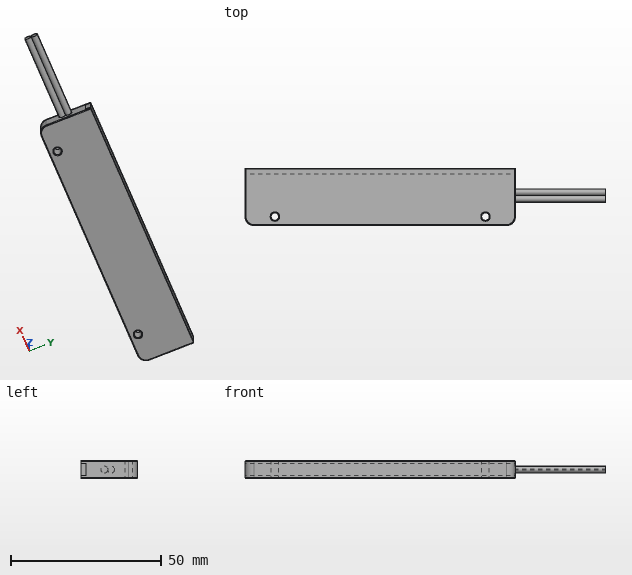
import cadquery as cq

total_length = 120.0
housing_length = 90.0
housing_width = 19.0
housing_height = 6.0
corner_radius = 3.0
edge_chamfer = 0.3

hole_diameter = 2.5
hole_end_offset = 10.0
hole_front_offset = 3.0

strip_depth = 1.8
strip_height = 4.0

core_diameter = 2.3
core_overlap = 0.02
core_spacing = core_diameter - core_overlap
cable_front_offset = 10.0
cable_length = total_length - housing_length

half_height = housing_height / 2


def make_plate():
    """Flat plate with rounded front corners; every face edge but the rear ones is chamfered."""
    plate = cq.Workplane("XY").box(
        housing_length, housing_width, housing_height, centered=(False, False, True)
    )
    plate = plate.edges("|Z and <Y").fillet(corner_radius)
    return plate.faces("|Z").edges("not >Y").chamfer(edge_chamfer)


def make_holes():
    """Cutters for the two holes, widened at the top and bottom faces by the edge chamfer."""
    hole_radius = hole_diameter / 2
    mouth_radius = hole_radius + edge_chamfer
    chamfer_level = half_height - edge_chamfer
    half_section = (
        cq.Workplane("XZ")
        .moveTo(0, -half_height)
        .lineTo(mouth_radius, -half_height)
        .lineTo(hole_radius, -chamfer_level)
        .lineTo(hole_radius, chamfer_level)
        .lineTo(mouth_radius, half_height)
        .lineTo(0, half_height)
        .close()
    )
    cutter = half_section.revolve(360, (0, 0, 0), (0, 1, 0)).val()
    hole_positions = [
        (hole_end_offset, hole_front_offset),
        (housing_length - hole_end_offset, hole_front_offset),
    ]
    return cq.Workplane("XY").pushPoints(hole_positions).eachpoint(lambda place: cutter.moved(place))


def make_core(side):
    """One round core of the cable, on the front (-1) or rear (+1) side of the cable axis."""
    core_y = cable_front_offset + side * core_spacing / 2
    return (
        cq.Workplane("YZ", origin=(housing_length, core_y, 0))
        .circle(core_diameter / 2)
        .extrude(cable_length)
    )


def make_strip():
    """Rectangular bar along the whole rear face, flush with the rear and both ends."""
    strip = cq.Workplane("XY").box(
        housing_length, strip_depth, strip_height, centered=(False, False, True)
    )
    return strip.translate((0, housing_width - strip_depth, 0))


def make_housing(strip):
    """Plate with its holes, a rear groove that fits the strip, and the fixed cable."""
    housing = make_plate().cut(make_holes()).cut(strip)
    for side in (-1, 1):
        housing = housing.union(make_core(side))
    return housing


strip = make_strip()
housing = make_housing(strip)

result = cq.Compound.makeCompound([housing.val(), strip.val()])